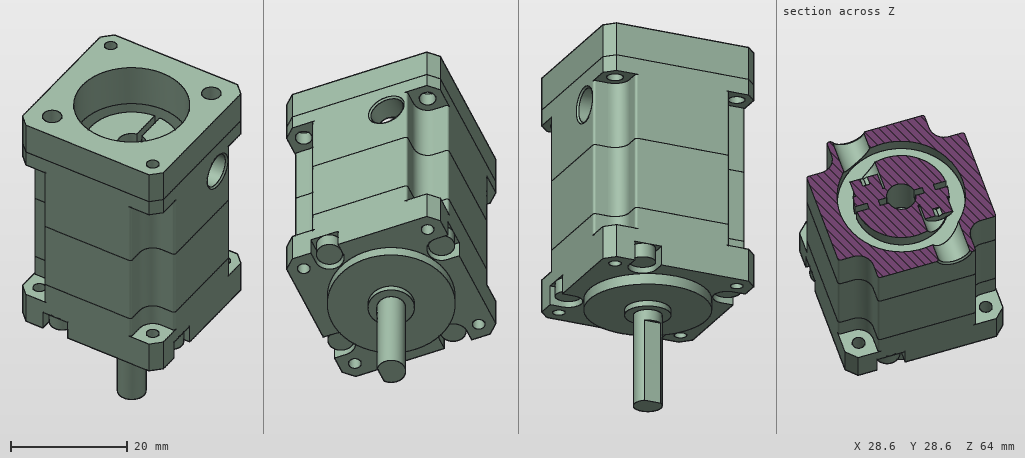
import cadquery as cq

overall_length = 64.0
body_width = 28.6
half_width = body_width / 2
corner_chamfer = 1.8

output_flange_length = 10.0
ring_gear_length = 13.0
input_housing_length = 15.0
adapter_length = 6.0
ring_gear_bottom = output_flange_length
input_housing_bottom = ring_gear_bottom + ring_gear_length
adapter_bottom = input_housing_bottom + input_housing_length
body_top = adapter_bottom + adapter_length

lower_flange_thickness = 6.0
upper_flange_thickness = 2.95
waist_top = adapter_bottom - upper_flange_thickness
corner_cutback = 5.45
waist_arm_width = body_width - 2 * corner_cutback
waist_inner_radius = 2.7
waist_edge_radius = 0.45

corner_hole_offset = 11.5
thread_hole_diameter = 2.2
clearance_hole_diameter = 2.9
motor_hole_offset = 9.9
motor_hole_diameter = 3.3

motor_bore_diameter = 20.0
housing_bore_diameter = 22.0
register_depth = 2.05
bore_floor_thickness = 5.5
bore_floor = input_housing_bottom + bore_floor_thickness

hub_diameter = 16.5
hub_top = body_top - 8.5
hub_slot_width = 1.0
motor_shaft_diameter = 5.0

clamp_screw_height = body_top - 12.0
clamp_screw_offset = 5.0
clamp_screw_end = 5.6
clamp_shank_diameter = 3.0
clamp_head_diameter = 5.5
clamp_head_height = 3.0
clamp_screw_seat = -clamp_screw_end + clamp_head_height
clamp_socket_width = 2.5
clamp_socket_depth = 1.5
access_hole_diameter = 6.0
access_hole_chamfer = 0.3

pilot_diameter = 22.0
pilot_height = 2.0
collar_diameter = 8.0
collar_height = 1.0
collar_bottom = -pilot_height - collar_height
shaft_diameter = 5.0
shaft_end = body_top - overall_length
shaft_flat_depth = 0.5
shaft_shoulder_length = 2.0
shaft_flat_start = collar_bottom - shaft_shoulder_length

flange_head_diameter = 4.5
flange_head_height = 2.55
flange_pocket_width = 5.05
flange_pocket_depth = 3.5
flange_screw_side_offset = 6.5
flange_screw_reach = half_width - flange_head_diameter / 2


def cylinder(diameter, bottom, top, points=((0, 0),)):
    """Upright cylinders between two heights, centred on the given points."""
    base = cq.Workplane("XY").workplane(offset=bottom)
    return base.pushPoints(points).circle(diameter / 2).extrude(top - bottom)


def cylinder_along_x(diameter, start, end, y):
    """Cylinder along X at the height of the clamp screws."""
    base = cq.Workplane("YZ", origin=(start, y, clamp_screw_height))
    return base.circle(diameter / 2).extrude(end - start)


def all_corners(offset):
    return [(x, y) for x in (-offset, offset) for y in (-offset, offset)]


def square_flange(bottom, top):
    """Square plate with chamfered corners."""
    block = cq.Workplane("XY").box(body_width, body_width, top - bottom, centered=(True, True, False))
    return block.edges("|Z").chamfer(corner_chamfer).translate((0, 0, bottom))


def waist(bottom, top):
    """Cross-shaped prism with rounded inner corners and softened outer edges."""
    arm = cq.Workplane("XY").box(body_width, waist_arm_width, top - bottom, centered=(True, True, False))
    arm = arm.edges("|Z").fillet(waist_edge_radius)
    cross = arm.union(arm.rotate((0, 0, 0), (0, 0, 1), 90))
    reach = waist_arm_width / 2 + waist_edge_radius
    middle = cq.selectors.BoxSelector((-reach, -reach, 0), (reach, reach, top - bottom))
    cross = cross.edges("|Z").edges(middle).fillet(waist_inner_radius)
    return cross.translate((0, 0, bottom))


def around_z(shape, count):
    """A shape and its evenly turned copies about Z."""
    copies = shape
    for step in range(1, count):
        copies = copies.union(shape.rotate((0, 0, 0), (0, 0, 1), step * 360 / count))
    return copies


def make_adapter():
    """Motor plate with a register ring that locates it in the input housing."""
    register_bottom = adapter_bottom - register_depth
    adapter = square_flange(adapter_bottom, body_top)
    adapter = adapter.union(cylinder(housing_bore_diameter, register_bottom, adapter_bottom))
    adapter = adapter.cut(cylinder(motor_bore_diameter, register_bottom, body_top))

    motor_holes = [(-motor_hole_offset, -motor_hole_offset), (motor_hole_offset, motor_hole_offset)]
    adapter = adapter.cut(cylinder(motor_hole_diameter, adapter_bottom, body_top, motor_holes))
    thread_holes = [(-corner_hole_offset, corner_hole_offset), (corner_hole_offset, -corner_hole_offset)]
    return adapter.cut(cylinder(thread_hole_diameter, adapter_bottom, body_top, thread_holes))


def access_hole():
    """Chamfered side hole that reaches the clamp screw on the -X side."""
    hole = cylinder_along_x(access_hole_diameter, -half_width, 0, -clamp_screw_offset)
    hole_radius = access_hole_diameter / 2
    mouth_centre = cq.Vector(-half_width, -clamp_screw_offset, clamp_screw_height)
    countersink = cq.Solid.makeCone(
        hole_radius + access_hole_chamfer, hole_radius, access_hole_chamfer,
        pnt=mouth_centre, dir=cq.Vector(1, 0, 0),
    )
    return hole.union(cq.Workplane(countersink))


def clamp_screw():
    """Socket-head screw with its head towards -X."""
    head = cylinder_along_x(clamp_head_diameter, -clamp_screw_end, clamp_screw_seat, -clamp_screw_offset)
    head_face = cq.Workplane("YZ", origin=(-clamp_screw_end, -clamp_screw_offset, clamp_screw_height))
    socket = head_face.polygon(6, clamp_socket_width, circumscribed=True).extrude(clamp_socket_depth)
    shank = cylinder_along_x(clamp_shank_diameter, clamp_screw_seat, clamp_screw_end, -clamp_screw_offset)
    return head.cut(socket).union(shank)


def make_clamp_hub():
    """Slotted hub with its two clamp screws in place, all of one piece."""
    hub = cylinder(hub_diameter, bore_floor, hub_top)
    hub_height = hub_top - bore_floor
    slot = cq.Workplane("XY").box(hub_slot_width, hub_diameter, hub_height, centered=(True, True, False))
    hub = hub.cut(slot.translate((0, 0, bore_floor)))
    counterbore = cylinder_along_x(access_hole_diameter, -half_width, clamp_screw_seat, -clamp_screw_offset)
    return hub.cut(around_z(counterbore, 2)).union(around_z(clamp_screw(), 2))


def make_input_housing():
    """Housing around the clamping hub, which stands on the floor of the bore."""
    housing = waist(input_housing_bottom, waist_top).union(square_flange(waist_top, adapter_bottom))
    housing = housing.cut(cylinder(housing_bore_diameter, bore_floor, adapter_bottom))
    corners = all_corners(corner_hole_offset)
    housing = housing.cut(cylinder(clearance_hole_diameter, waist_top, adapter_bottom, corners))
    housing = housing.cut(around_z(access_hole(), 2))
    housing = housing.union(make_clamp_hub())
    return housing.cut(cylinder(motor_shaft_diameter, input_housing_bottom, hub_top))


def make_ring_gear():
    return waist(ring_gear_bottom, input_housing_bottom)


def flange_screw_pocket():
    """Round-backed pocket that opens to the -Y side and to the mounting face."""
    centre = (-flange_screw_side_offset, -flange_screw_reach)
    round_back = cylinder(flange_pocket_width, 0, flange_pocket_depth, [centre])
    opening = cq.Workplane("XY").box(
        flange_pocket_width, flange_pocket_width, flange_pocket_depth, centered=(True, False, False)
    )
    return round_back.union(opening.translate((centre[0], centre[1] - flange_pocket_width, 0)))


def flange_screw_head():
    centre = (-flange_screw_side_offset, -flange_screw_reach)
    head_bottom = flange_pocket_depth - flange_head_height
    return cylinder(flange_head_diameter, head_bottom, flange_pocket_depth, [centre])


def output_shaft():
    """Shaft with a flat on its +Y side, which stops short of the collar."""
    shaft = cylinder(shaft_diameter, shaft_end, collar_bottom)
    flat_length = shaft_flat_start - shaft_end
    flat = cq.Workplane("XY").box(shaft_diameter, shaft_flat_depth, flat_length, centered=(True, False, False))
    return shaft.cut(flat.translate((0, shaft_diameter / 2 - shaft_flat_depth, shaft_end)))


def make_output_flange():
    """Mounting flange with its screw heads, pilot, collar and output shaft."""
    flange = square_flange(0, lower_flange_thickness)
    flange = flange.union(waist(lower_flange_thickness, output_flange_length))
    corners = all_corners(corner_hole_offset)
    flange = flange.cut(cylinder(thread_hole_diameter, 0, lower_flange_thickness, corners))
    flange = flange.cut(around_z(flange_screw_pocket(), 4))
    flange = flange.union(around_z(flange_screw_head(), 4))
    flange = flange.union(cylinder(pilot_diameter, -pilot_height, 0))
    flange = flange.union(cylinder(collar_diameter, collar_bottom, -pilot_height))
    return flange.union(output_shaft())


adapter = make_adapter()
input_housing = make_input_housing()
ring_gear = make_ring_gear()
output_flange = make_output_flange()

result = cq.Compound.makeCompound(
    [body.solids().val() for body in (adapter, input_housing, ring_gear, output_flange)]
)